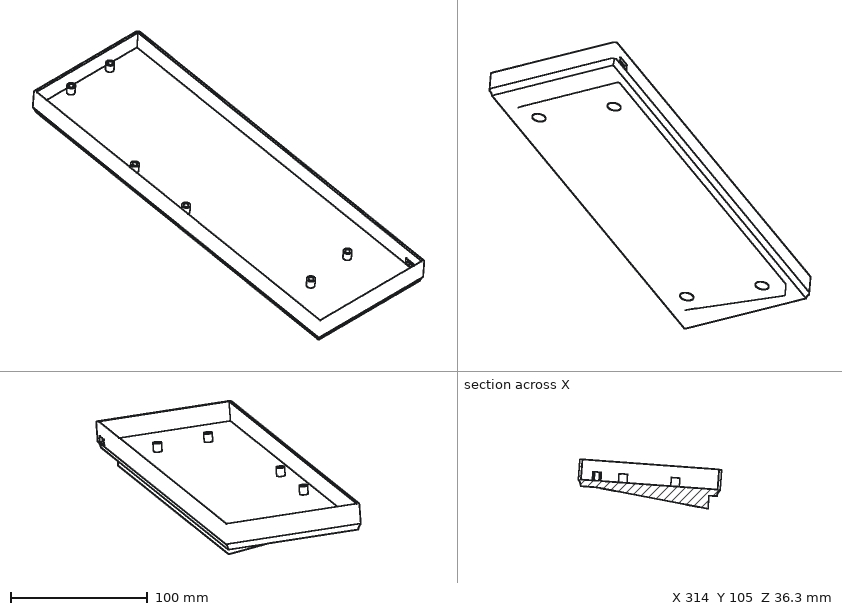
import cadquery as cq
import math

length = 314.0
width = 104.2
height = 19.8
wall = 2.2
floor = 5.0
corner_radius = 2.5
cove_inset = 2.2
cove_height = 5.0
cove_sag = 0.47
rim_radius = 0.5
tilt_angle = 4.2

standoff_diameter = 6.3
standoff_bore = 3.5
standoff_height = 6.3
standoff_places = [
    (-150.0, 18.8),
    (-150.0, -19.5),
    (106.7, 21.0),
    (111.8, -19.5),
    (-59.3, -38.5),
    (-3.5, -38.5),
]

opening_width = 10.7
opening_height = 4.7
opening_end_gap = 5.5
opening_floor_gap = 1.0

wedge_length = 269.5
wedge_run = 83.2
wedge_depth = 9.7
wedge_back_inset = 8.0
wedge_corner_radius = 1.5
wedge_edge_radius = 0.5

pad_diameter = 10.0
pad_recess = 0.3
pad_spacing_x = 237.5
pad_spacing_y = 62.8
pad_back_inset = 11.3


def make_coved_bar(plane, across, along):
    """Bar whose two lower edges are cut back by a shallow hollow arc."""
    side = across / 2
    foot = side - cove_inset
    slant = math.hypot(cove_inset, cove_height)
    mid_across = side - cove_inset / 2 - cove_sag * cove_height / slant
    mid_up = cove_height / 2 + cove_sag * cove_inset / slant
    return (
        cq.Workplane(plane)
        .moveTo(-foot, 0)
        .lineTo(foot, 0)
        .threePointArc((mid_across, mid_up), (side, cove_height))
        .lineTo(side, height)
        .lineTo(-side, height)
        .lineTo(-side, cove_height)
        .threePointArc((-mid_across, mid_up), (-foot, 0))
        .close()
        .extrude(along / 2, both=True)
    )


def make_tray():
    """Open box with rounded upright corners and slightly hollow lower edges."""
    plan = (
        cq.Workplane("XY")
        .box(length, width, height, centered=(True, True, False))
        .edges("|Z")
        .fillet(corner_radius)
    )
    lengthwise = make_coved_bar("YZ", width, length)
    crosswise = make_coved_bar("XZ", length, width)
    shell = plan.intersect(lengthwise).intersect(crosswise)
    cavity = (
        cq.Workplane("XY")
        .workplane(offset=floor)
        .rect(length - 2 * wall, width - 2 * wall)
        .extrude(height)
    )
    return shell.faces(">Z").edges().fillet(rim_radius).cut(cavity)


def make_standoffs():
    """Bored posts standing on the floor."""
    return (
        cq.Workplane("XY")
        .workplane(offset=floor)
        .pushPoints(standoff_places)
        .circle(standoff_diameter / 2)
        .circle(standoff_bore / 2)
        .extrude(standoff_height)
    )


def make_opening():
    """Cutter for the small window near the +X end of the back wall."""
    centre_x = length / 2 - wall - opening_end_gap - opening_width / 2
    return cq.Workplane("XY").box(
        opening_width, 3 * wall, opening_height, centered=(True, True, False)
    ).translate((centre_x, width / 2, floor + opening_floor_gap))


def make_wedge():
    """Foot that is deepest at the back and runs out to nothing at the front."""
    back = width / 2 - wedge_back_inset
    overlap = wall / 2
    wedge = (
        cq.Workplane("YZ")
        .moveTo(back, overlap)
        .lineTo(back, -wedge_depth)
        .lineTo(back - wedge_run, 0)
        .lineTo(back - wedge_run, overlap)
        .close()
        .extrude(wedge_length / 2, both=True)
    )
    wedge = wedge.edges("|Z and >Y").fillet(wedge_corner_radius)
    return wedge.faces("<Z").edges("<Z").fillet(wedge_edge_radius)


def make_pad_recesses():
    """Cutter for the four shallow discs sunk square to the sloping face."""
    slope = math.degrees(math.atan2(wedge_depth, wedge_run))
    discs = (
        cq.Workplane("XY")
        .rect(pad_spacing_x, pad_spacing_y, forConstruction=True)
        .vertices()
        .circle(pad_diameter / 2)
        .extrude(pad_recess)
    )
    centre_drop = pad_back_inset + pad_spacing_y / 2
    centre_y = width / 2 - wedge_back_inset - centre_drop
    centre_z = -wedge_depth * (1 - centre_drop / wedge_run)
    return discs.rotate((0, 0, 0), (1, 0, 0), -slope).translate((0, centre_y, centre_z))


level_part = (
    make_tray()
    .cut(make_opening())
    .union(make_standoffs())
    .union(make_wedge())
    .cut(make_pad_recesses())
)
result = level_part.rotate((0, 0, 0), (1, 0, 0), -tilt_angle)